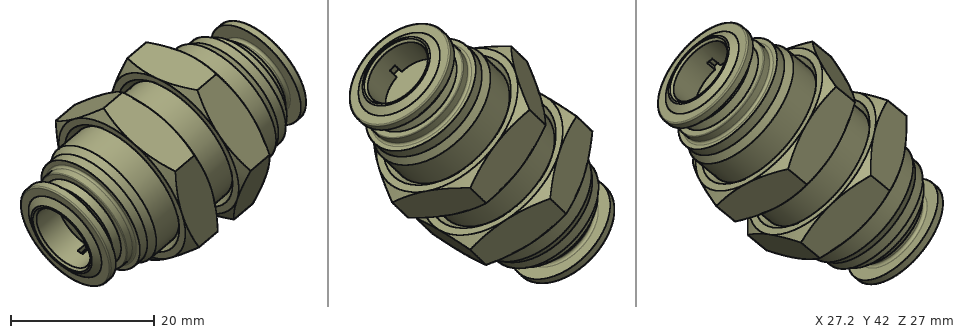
import cadquery as cq
import math


half_length = 21.0
flange_start = 0.7
flange_end = 1.95
sleeve_start = 3.2
ring_start = 4.4
shoulder_start = 5.95
taper_start = 7.48
barrel_start = 8.65
bore_depth = 4.7

end_cone_tip_radius = 5.75
end_cone_base_radius = 6.95
flange_radius = 8.53
neck_radius = 6.0
sleeve_tip_radius = 6.8
sleeve_base_radius = 7.22
ring_radius = 8.25
shoulder_radius = 9.35
barrel_radius = 10.0
bore_radius = 5.1

flange_edge_radius = 0.2
neck_fillet_radius = 0.45
ring_edge_radius = 0.13
ring_fillet_radius = 0.38
bore_chamfer = 0.355

slot_width = 1.0
slot_start = 3.05
front_slot_angle = 98.0
back_slot_angle = 57.0

nut_across_flats = 24.0
nut_height = 6.05
nut_center_offset = 5.5
nut_corner_angle = 30.0
nut_bore_chamfer = 0.85
front_nut_angle = -11.1
back_nut_angle = 16.8


def revolve_around_y(profile):
    """Turn a closed XY profile, with X as the radius, about the Y axis."""
    return profile.revolve(360, (0, 0, 0), (0, 1, 0))


def fitting_half():
    """Front half of the turned fitting, with its blind tube bore."""
    end = -half_length
    profile = (
        cq.Workplane("XY")
        .moveTo(0, 0)
        .lineTo(0, end + bore_depth)
        .lineTo(bore_radius, end + bore_depth)
        .lineTo(bore_radius, end + bore_chamfer)
        .lineTo(bore_radius + bore_chamfer, end)
        .lineTo(end_cone_tip_radius, end)
        .lineTo(end_cone_base_radius, end + flange_start)
        .lineTo(flange_radius - flange_edge_radius, end + flange_start)
        .radiusArc((flange_radius, end + flange_start + flange_edge_radius), -flange_edge_radius)
        .lineTo(flange_radius, end + flange_end)
        .lineTo(neck_radius + neck_fillet_radius, end + flange_end)
        .radiusArc((neck_radius, end + flange_end + neck_fillet_radius), neck_fillet_radius)
        .lineTo(neck_radius, end + sleeve_start)
        .lineTo(sleeve_tip_radius, end + sleeve_start)
        .lineTo(sleeve_base_radius, end + ring_start)
        .lineTo(ring_radius - ring_edge_radius, end + ring_start)
        .radiusArc((ring_radius, end + ring_start + ring_edge_radius), -ring_edge_radius)
        .lineTo(ring_radius, end + shoulder_start - ring_fillet_radius)
        .radiusArc((ring_radius + ring_fillet_radius, end + shoulder_start), ring_fillet_radius)
        .lineTo(shoulder_radius, end + shoulder_start)
        .lineTo(shoulder_radius, end + taper_start)
        .lineTo(barrel_radius, end + barrel_start)
        .lineTo(barrel_radius, 0)
        .close()
    )
    return revolve_around_y(profile)


def bore_slots(angle):
    """Bar that cuts two opposite slots at the inner end of the front bore, out to the neck radius."""
    slot_length = bore_depth - slot_start
    middle = -half_length + (slot_start + bore_depth) / 2
    bar = cq.Workplane("XY").box(2 * neck_radius, slot_length, slot_width)
    return bar.rotate((0, 0, 0), (0, -1, 0), angle).translate((0, middle, 0))


def make_fitting():
    front = fitting_half().cut(bore_slots(front_slot_angle))
    back = fitting_half().cut(bore_slots(back_slot_angle)).mirror("XZ")
    return front.union(back).clean()


def make_nut(center_y, corner_angle):
    """Hexagon nut with chamfered corners and a countersunk bore that fits the barrel."""
    corner_radius = nut_across_flats / math.sqrt(3)
    face_radius = nut_across_flats / 2
    corner_drop = (corner_radius - face_radius) * math.tan(math.radians(nut_corner_angle))
    half_height = nut_height / 2
    countersink_radius = barrel_radius + nut_bore_chamfer
    hexagon = (
        cq.Workplane("XZ")
        .polygon(6, 2 * corner_radius)
        .extrude(half_height, both=True)
        .rotate((0, 0, 0), (0, -1, 0), corner_angle)
    )
    envelope = revolve_around_y(
        cq.Workplane("XY").polyline([
            (barrel_radius, -half_height + nut_bore_chamfer),
            (countersink_radius, -half_height),
            (face_radius, -half_height),
            (corner_radius, -half_height + corner_drop),
            (corner_radius, half_height - corner_drop),
            (face_radius, half_height),
            (countersink_radius, half_height),
            (barrel_radius, half_height - nut_bore_chamfer),
        ]).close()
    )
    return hexagon.intersect(envelope).translate((0, center_y, 0))


fitting = make_fitting()
nuts = [
    make_nut(center_y, corner_angle)
    for center_y, corner_angle in (
        (-nut_center_offset, front_nut_angle),
        (nut_center_offset, back_nut_angle),
    )
]

result = cq.Compound.makeCompound([fitting.val(), *[nut.val() for nut in nuts]])